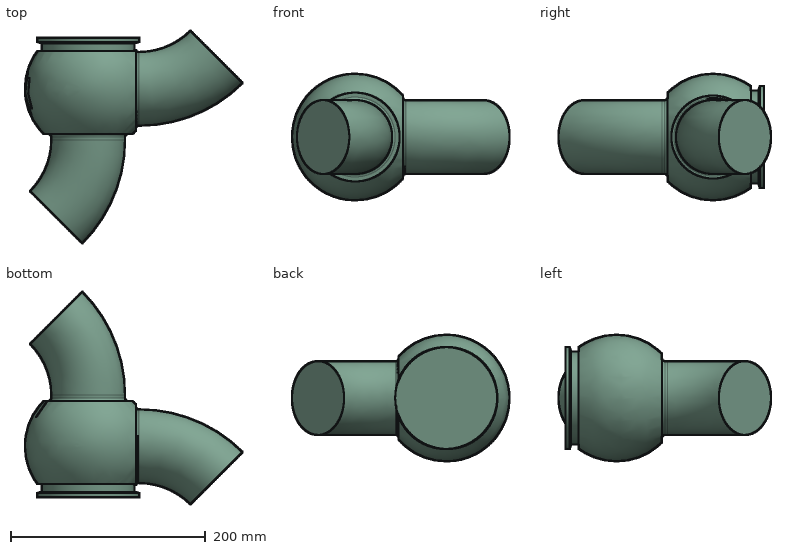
import cadquery as cq

sphere_radius = 65.075
pipe_radius = 38.0
bend_radius = 112.25
bend_angle = 45.0
bend_start = 52.35

flange_seat = 39.0
side_pipe_seat = 49.2
front_pipe_seat = 46.4

side_fillet = 2.0
front_fillet = 3.0

neck_radius = 47.75
flange_radius = 52.5
flange_face = 52.6
flange_rim_thickness = 4.5
flange_taper_length = 1.3


def make_body():
    """Sphere trimmed flat where the flange and the two pipes sit."""
    trim_width = side_pipe_seat + sphere_radius
    trim_depth = flange_seat + front_pipe_seat
    trim = (
        cq.Workplane("XY")
        .box(trim_width, trim_depth, 2 * sphere_radius, centered=(False, False, True))
        .translate((-sphere_radius, -front_pipe_seat, 0))
    )
    return cq.Workplane("XY").sphere(sphere_radius).intersect(trim)


def make_pipe(seat, fillet):
    """Pipe leaving the sphere along +X with a filleted root, then bending towards +Y."""
    root = (
        cq.Workplane("XY")
        .lineTo(0, pipe_radius + fillet)
        .lineTo(seat, pipe_radius + fillet)
        .radiusArc((seat + fillet, pipe_radius), -fillet)
        .lineTo(bend_start, pipe_radius)
        .lineTo(bend_start, 0)
        .close()
        .revolve(360, (0, 0, 0), (1, 0, 0))
    )
    bend = (
        cq.Workplane("YZ", origin=(bend_start, 0, 0))
        .circle(pipe_radius)
        .revolve(bend_angle, (bend_radius, 0, 0), (bend_radius, 1, 0))
    )
    return root.union(bend)


def make_flange():
    """Clamp flange on the +Y side: neck, shallow taper and rim."""
    rim_back = flange_face - flange_rim_thickness
    return (
        cq.Workplane("XY")
        .lineTo(neck_radius, 0)
        .lineTo(neck_radius, rim_back - flange_taper_length)
        .lineTo(flange_radius, rim_back)
        .lineTo(flange_radius, flange_face)
        .lineTo(0, flange_face)
        .close()
        .revolve(360, (0, 0, 0), (0, 1, 0))
    )


side_pipe = make_pipe(side_pipe_seat, side_fillet)

front_pipe = (
    make_pipe(front_pipe_seat, front_fillet)
    .rotate((0, 0, 0), (0, 0, 1), -90)
    .mirror("YZ")
)

result = make_body().union(side_pipe).union(front_pipe).union(make_flange())